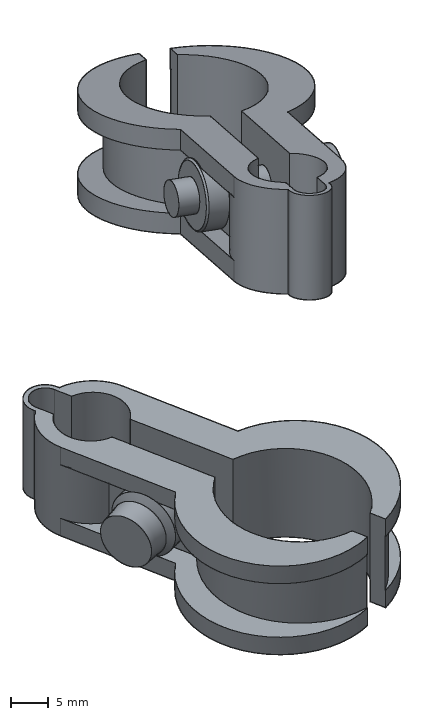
import cadquery as cq
import math

length = 54.9
width = 31.8
height = 15.0
gap_half = 2.25
arm_half_width = 7.75

jaw_outer_radius = 13.95
jaw_outer_x = jaw_outer_radius
jaw_outer_y = width / 2 - jaw_outer_radius
jaw_bore_radius = 11.45
jaw_bore_x = 13.15
jaw_bore_y = -1.75

small_x = 44.6
small_y = 0.3
small_bore_radius = 5.0
small_outer_radius = arm_half_width - small_y

bend_inner_radius = gap_half
bend_wall = 0.7
bend_outer_radius = bend_inner_radius + bend_wall
bend_x = length - bend_outer_radius

flange_thickness = 2.95
groove_height = height - 2 * flange_thickness
jaw_wall = 2.2
groove_radius = jaw_bore_radius + jaw_wall
groove_flat_y = 4.95

bolt_x = 31.6
bolt_radius = 2.5
bolt_end_y = -11.2
head_base_y = 8.85
head_top_y = 12.15
head_base_radius = 4.2
head_top_radius = 4.0

seat_radius = 5.0
flat_seat_y = 8.2
flat_seat_chamfer = 0.3
dome_top_y = 8.5
dome_rim_y = arm_half_width
dome_top_radius = bolt_radius
dome_bulge = 0.1


def bolt_profile():
    """Sketch plane with its origin on the bolt axis; local x is the radius and local y is Y."""
    return cq.Workplane("XY", origin=(bolt_x, 0, 0))


def spin(profile):
    """Revolve a closed profile about the bolt axis."""
    return profile.close().revolve(360, (0, 0, 0), (0, 1, 0))


def disc(x, y, radius, thickness):
    return cq.Workplane("XY").center(x, y).circle(radius).extrude(thickness / 2, both=True)


def slab(x_min, x_max, y_min, y_max, thickness):
    return (
        cq.Workplane("XY")
        .center((x_min + x_max) / 2, (y_min + y_max) / 2)
        .rect(x_max - x_min, y_max - y_min)
        .extrude(thickness / 2, both=True)
    )


def jaw_half(jaw_x, jaw_y, jaw_radius, arm_y, thickness):
    """The +Y jaw and arm, before the bores are cut."""
    blank = disc(jaw_x, jaw_y, jaw_radius, thickness)
    blank = blank.union(slab(jaw_x, small_x, 0, arm_y, thickness))
    blank = blank.union(disc(small_x, small_y, small_outer_radius, thickness))
    return blank.intersect(slab(0, length, gap_half, length, thickness))


def clamp_half():
    flanged = jaw_half(jaw_outer_x, jaw_outer_y, jaw_outer_radius, arm_half_width, height)
    core = jaw_half(jaw_bore_x, jaw_bore_y, groove_radius, groove_flat_y, groove_height)
    mid_band = slab(0, length, 0, length, groove_height)
    half = flanged.cut(mid_band).union(core.intersect(flanged))
    half = half.cut(disc(jaw_bore_x, jaw_bore_y, jaw_bore_radius, height))
    return half.cut(disc(small_x, small_y, small_bore_radius, height))


def spring_bend():
    bend = disc(bend_x, 0, bend_outer_radius, height)
    bend = bend.cut(disc(bend_x, 0, bend_inner_radius, height))
    bend = bend.intersect(slab(bend_x, length, -length, length, height))
    small_arc_end_x = small_x + math.sqrt(small_outer_radius**2 - (bend_outer_radius - small_y) ** 2)
    strip_start_x = small_arc_end_x - bend_wall
    for y_min in (gap_half, -bend_outer_radius):
        bend = bend.union(slab(strip_start_x, bend_x, y_min, y_min + bend_wall, height))
    return bend


def flat_seat():
    """Round boss under the plain end of the bolt, on the -Y arm."""
    return spin(
        bolt_profile()
        .moveTo(0, -groove_flat_y)
        .lineTo(seat_radius, -groove_flat_y)
        .lineTo(seat_radius, flat_seat_chamfer - flat_seat_y)
        .lineTo(seat_radius - flat_seat_chamfer, -flat_seat_y)
        .lineTo(0, -flat_seat_y)
    )


def domed_seat():
    """Round boss with a domed top under the bolt head, on the +Y arm."""
    dome_mid_radius = (seat_radius + dome_top_radius) / 2
    dome_mid_y = (dome_rim_y + dome_top_y) / 2 + dome_bulge
    return spin(
        bolt_profile()
        .moveTo(0, groove_flat_y)
        .lineTo(seat_radius, groove_flat_y)
        .lineTo(seat_radius, dome_rim_y)
        .threePointArc((dome_mid_radius, dome_mid_y), (dome_top_radius, dome_top_y))
        .lineTo(0, dome_top_y)
    )


def make_bolt():
    return spin(
        bolt_profile()
        .moveTo(0, bolt_end_y)
        .lineTo(bolt_radius, bolt_end_y)
        .lineTo(bolt_radius, head_base_y)
        .lineTo(head_base_radius, head_base_y)
        .lineTo(head_top_radius, head_top_y)
        .lineTo(0, head_top_y)
    )


def make_clamp(bolt):
    half = clamp_half()
    body = half.union(half.mirror("XZ")).union(spring_bend())
    body = body.union(flat_seat()).union(domed_seat())
    return body.cut(bolt)


bolt = make_bolt()
clamp = make_clamp(bolt)
result = cq.Compound.makeCompound([clamp.solids().val(), bolt.solids().val()])